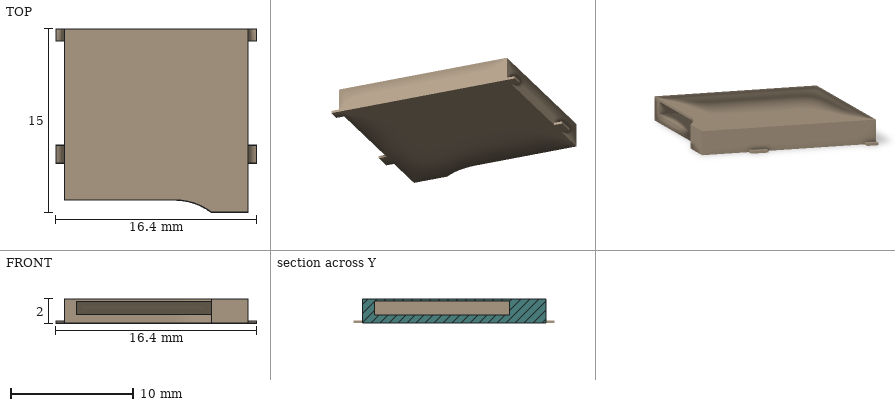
import cadquery as cq
import math


body_width = 15.0
body_length = 15.0
body_height = 2.0
front_step = 1.0
nose_width = 3.0
finger_radius = 5.0

slot_side_wall = 1.0
slot_rear_wall = 1.0
slot_floor = 0.7
slot_roof = 0.2

tab_reach = 0.7
tab_thickness = 0.2
rear_tab_length = 1.0
front_tab_length = 1.5
front_tab_setback = 4.0

side_x = body_width / 2
rear_y = body_length / 2
nose_y = -body_length / 2
front_y = nose_y + front_step
nose_x = side_x - nose_width

curve_angle = math.acos(1 - front_step / finger_radius)
curve_start_x = nose_x - finger_radius * math.sin(curve_angle)
curve_centre_y = front_y - finger_radius
curve_middle = (
    curve_start_x + finger_radius * math.sin(curve_angle / 2),
    curve_centre_y + finger_radius * math.cos(curve_angle / 2),
)


def box_between(x_range, y_range, z_range):
    """Axis-aligned box given by its low and high limits along each axis."""
    size = [high - low for low, high in (x_range, y_range, z_range)]
    corner = (x_range[0], y_range[0], z_range[0])
    return cq.Workplane("XY").box(*size, centered=False).translate(corner)


def make_housing():
    """Flat housing with the finger curve in its front edge."""
    return (
        cq.Workplane("XY")
        .moveTo(-side_x, rear_y)
        .lineTo(-side_x, front_y)
        .lineTo(curve_start_x, front_y)
        .threePointArc(curve_middle, (nose_x, nose_y))
        .lineTo(side_x, nose_y)
        .lineTo(side_x, rear_y)
        .close()
        .extrude(body_height)
    )


def make_slot():
    """Card space, from the front opening back to the rear wall."""
    return box_between(
        (-side_x + slot_side_wall, nose_x),
        (nose_y, rear_y - slot_rear_wall),
        (slot_floor, body_height - slot_roof),
    )


def make_tab(side, near_y, length):
    """Solder tab on the -X side (side = -1) or the +X side (side = 1)."""
    x_range = sorted((side * side_x, side * (side_x + tab_reach)))
    return box_between(x_range, (near_y, near_y + length), (0, tab_thickness))


result = make_housing().cut(make_slot())
for side in (-1, 1):
    result = result.union(make_tab(side, rear_y - rear_tab_length, rear_tab_length))
    result = result.union(make_tab(side, nose_y + front_tab_setback, front_tab_length))